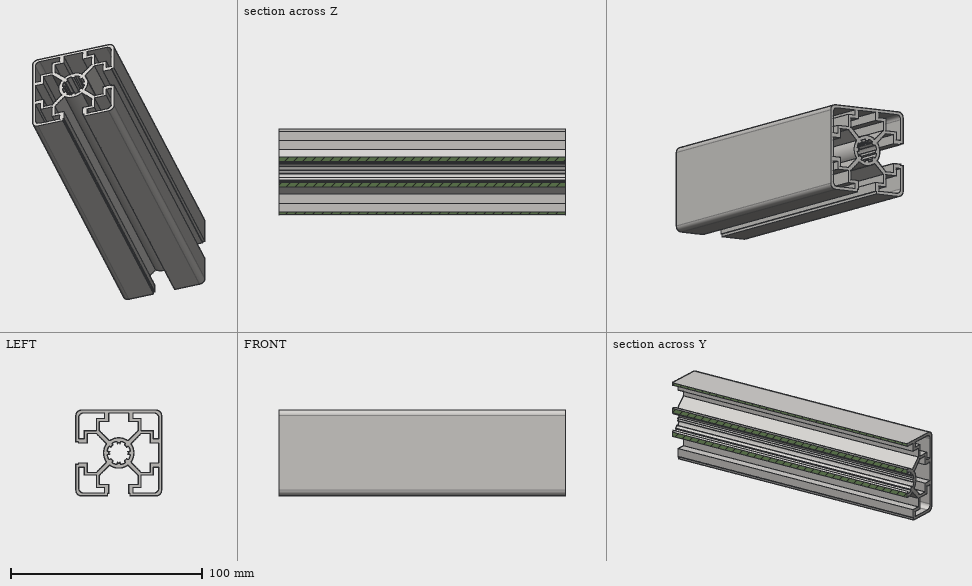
import cadquery as cq
import math

length = 150.0
side = 45.0
half_side = side / 2
outer_corner_radius = 3.0
wall = 1.6
inner_face = half_side - wall
side_count = 4
quarter_turn = 360.0 / side_count

mouth_half_width = 5.2
mouth_relief = 0.6
mouth_relief_depth = 1.4
lip_depth = 6.05
slot_half_width = 10.1
slot_shoulder = half_side - lip_depth

web = 1.55
lip_web = 1.7
neck_web = 2.3
chamber_corner_radius = 2.5
chamber_inner = slot_half_width + web
chamber_step = slot_shoulder + lip_web
chamber_neck = mouth_half_width + neck_web

tube_outer_radius = 8.0
tube_bore_radius = 6.1
spoke_root_half_width = 4.4
spoke_root_height = 6.1
tooth_tip_radius = 5.1
narrow_tip_radius = 4.7
wide_tooth_half_angle = 10.0
narrow_tooth_half_angle = 10.5
narrow_tip_half_angle = 8.0
notch_depth = 0.6
tooth_root_radius = (tube_outer_radius + tube_bore_radius) / 2


def polar(radius, angle):
    """Point at a radius and an angle in degrees about the profile axis."""
    turn = math.radians(angle)
    return (radius * math.cos(turn), radius * math.sin(turn))


def section():
    """New sketch plane across the profile: local x is Y, local y is Z."""
    return cq.Workplane("YZ")


def turned(body, angle):
    """Body turned about the profile axis."""
    return body.rotate((0, 0, 0), (1, 0, 0), angle)


def outer_bar():
    return section().rect(side, side).extrude(length).edges("|X").fillet(outer_corner_radius)


def chamber():
    """Hollow in the +Y +Z corner."""
    outline = [
        (inner_face, inner_face),
        (inner_face, chamber_neck),
        (chamber_step, chamber_neck),
        (chamber_step, chamber_inner),
        (chamber_inner, chamber_inner),
        (chamber_inner, chamber_step),
        (chamber_neck, chamber_step),
        (chamber_neck, inner_face),
    ]
    body = section().polyline(outline).close().extrude(length)
    corner = cq.selectors.NearestToPointSelector((length / 2, inner_face, inner_face))
    return body.edges("|X").edges(corner).fillet(chamber_corner_radius)


def slot(is_open):
    """T-slot on the +Z side; a closed slot stops at the outer wall."""
    right_half = [
        (spoke_root_half_width, spoke_root_height),
        (slot_half_width, chamber_inner),
        (slot_half_width, slot_shoulder),
        (mouth_half_width, slot_shoulder),
    ]
    if is_open:
        mouth_outer = mouth_half_width + mouth_relief
        relief_floor = half_side - mouth_relief_depth
        right_half.append((mouth_half_width, relief_floor))
        right_half.append((mouth_outer, relief_floor))
        right_half.append((mouth_outer, half_side))
    else:
        right_half.append((mouth_half_width, inner_face))
    left_half = [(-x, y) for x, y in reversed(right_half)]
    return section().polyline(right_half + left_half).close().extrude(length)


def tube():
    return section().circle(tube_outer_radius).circle(tube_bore_radius).extrude(length)


def tooth(root_half_angle, tip_half_angle, tip_middle_radius, tip_radius):
    """Tooth on the +Y side, rooted in the tube wall and pointing at the axis."""
    return (
        section()
        .moveTo(*polar(tooth_root_radius, -root_half_angle))
        .lineTo(*polar(tip_radius, -tip_half_angle))
        .threePointArc((tip_middle_radius, 0), polar(tip_radius, tip_half_angle))
        .lineTo(*polar(tooth_root_radius, root_half_angle))
        .close()
        .extrude(length)
    )


result = outer_bar()

for quarter in range(side_count):
    result = result.cut(turned(chamber(), quarter_turn * quarter))

for quarter, slot_is_open in enumerate((False, False, True, True)):
    result = result.cut(turned(slot(slot_is_open), quarter_turn * quarter))

result = result.cut(section().circle(tube_bore_radius).extrude(length)).union(tube())

wide_tooth = tooth(wide_tooth_half_angle, wide_tooth_half_angle, tooth_tip_radius, tooth_tip_radius)
narrow_tooth = tooth(
    narrow_tooth_half_angle, narrow_tip_half_angle, narrow_tip_radius + notch_depth, narrow_tip_radius
)
for quarter in range(side_count):
    result = result.union(turned(narrow_tooth, quarter_turn * quarter))
    result = result.union(turned(wide_tooth, quarter_turn * quarter + quarter_turn / 2))